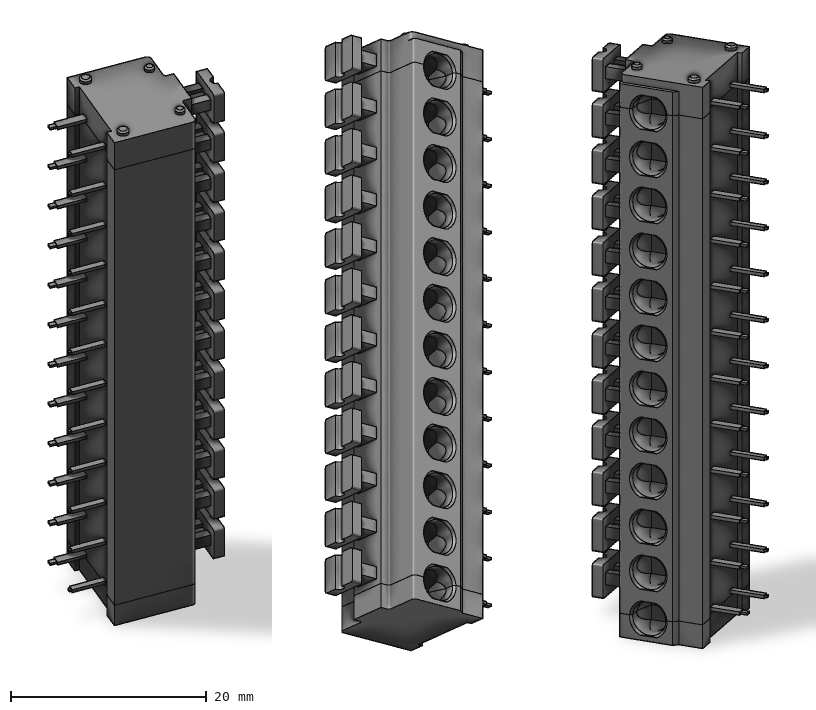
import cadquery as cq

pitch = 5.08
pole_count = 12
lower_end_height = 2.6
upper_seam_z = lower_end_height + (pole_count - 1) * pitch
peg_height = 0.5
total_height = 62.45
housing_height = total_height - peg_height

housing_width = 12.05
shoulder_y = 9.2
shoulder_round = 0.5
foot_width = 1.95
foot_height = 0.5
neck_width = 4.55
neck_top_y = 10.25
neck_fillet = 0.3
center_x = housing_width / 2

rail_depth = 0.45
rail_bottom_y = 2.6
rail_slope_height = 0.55
rail_height = 61.1
rail_round = 0.3

entry_diameter = 3.7
mouth_chamfer = 0.25
mouth_height = 3.75
entry_y = 5.9
entry_above_seam = -0.2
funnel_start_depth = 1.4
funnel_end_depth = 3.4
funnel_end_width = 2.25
funnel_end_bottom = -1.45
funnel_end_top = 0.55

stem_above_seam = 1.4
head_above_seam = 1.25
head_width = neck_width
head_bottom_y = 12.75
head_top_y = 13.9
head_height = 3.75
head_round = 0.25
stem_width = 3.05
stem_height = 1.3
groove_width = 1.1
groove_depth = 0.45

pin_above_seam = 0.55
pin_thickness = 0.4
tip_thickness = 0.25
pin_end_y = -3.55
wide_pin_x = 3.5
wide_pin_width = 0.95
wide_tip_width = 0.55
wide_tip_length = 0.75
narrow_pin_x = 8.5
narrow_pin_width = 0.7
narrow_tip_width = 0.4
narrow_tip_length = 0.25

small_peg_diameter = 1.05
small_peg_y = 8.25
small_peg_spacing = 7.8
large_peg_diameter = 1.25
large_peg_y = 1.5
large_peg_spacing = 9.55
peg_chamfer = 0.2


def block(x0, x1, y0, y1, z0, z1):
    return cq.Workplane("XY").box(x1 - x0, y1 - y0, z1 - z0, centered=False).translate((x0, y0, z0))


def centered_block(width, y0, y1, z0, z1):
    return block(center_x - width / 2, center_x + width / 2, y0, y1, z0, z1)


def housing_blank(z0, z1):
    """Stretch of the plain housing profile with its foot strips and lever neck."""
    body = block(0, housing_width, 0, shoulder_y, z0, z1)
    body = body.edges("|Z and >Y").fillet(shoulder_round)
    neck_left = center_x - neck_width / 2
    neck_right = center_x + neck_width / 2
    body = body.union(centered_block(neck_width, shoulder_y / 2, neck_top_y, z0, z1))
    neck_corners = cq.selectors.BoxSelector(
        (neck_left - neck_fillet, shoulder_y - neck_fillet, z0 - 0.6),
        (neck_right + neck_fillet, shoulder_y + neck_fillet, z1 + 0.6),
    )
    body = body.edges("|Z").edges(neck_corners).fillet(neck_fillet)
    return body.cut(block(foot_width, housing_width - foot_width, 0, foot_height, z0, z1))


def rail(z0, z1):
    """Raised strip around the wire entries, sloped below and rounded above."""
    profile = (
        cq.Workplane("XY", origin=(0, 0, z0))
        .moveTo(shoulder_round, rail_bottom_y)
        .lineTo(0, rail_bottom_y)
        .lineTo(-rail_depth, rail_bottom_y + rail_slope_height)
        .lineTo(-rail_depth, shoulder_y - rail_round)
        .radiusArc((rail_round - rail_depth, shoulder_y), rail_round)
        .lineTo(shoulder_round, shoulder_y)
        .close()
    )
    return profile.extrude(z1 - z0)


def wire_entry():
    """Round hole, countersunk at both sides, whose flat sloped sides guide the wire to a rectangular end.

    Placed for a seam at Z = 0.
    """
    mouth = cq.Workplane("YZ", origin=(-rail_depth, entry_y, entry_above_seam))
    straight = mouth.circle(entry_diameter / 2).extrude(funnel_start_depth)
    bore = mouth.circle(entry_diameter / 2).extrude(funnel_end_depth)
    funnel = (
        mouth.workplane(offset=funnel_start_depth)
        .rect(entry_diameter, entry_diameter)
        .workplane(offset=funnel_end_depth - funnel_start_depth)
        .center(0, (funnel_end_top + funnel_end_bottom) / 2)
        .rect(funnel_end_width, funnel_end_top - funnel_end_bottom)
        .loft(ruled=True)
    )
    countersink = (
        mouth.circle(entry_diameter / 2 + mouth_chamfer)
        .workplane(offset=mouth_chamfer)
        .circle(entry_diameter / 2)
        .loft()
    )
    flats = mouth.rect(pitch, mouth_height).extrude(mouth_chamfer)
    return straight.union(bore.intersect(funnel)).union(countersink.intersect(flats)).val()


def lever():
    """Grooved stem with a notched head, placed for a seam at Z = 0."""
    stem_top = stem_above_seam + stem_height / 2
    stem = centered_block(stem_width, neck_top_y, head_bottom_y, stem_top - stem_height, stem_top)
    groove = centered_block(groove_width, neck_top_y, head_bottom_y, stem_top - groove_depth, stem_top)
    head_top = head_above_seam + head_height / 2
    head_bottom = head_top - head_height
    head = centered_block(head_width, head_bottom_y, head_top_y, head_bottom, head_top)
    head = head.edges("|Y").fillet(head_round)
    notch = (
        cq.Workplane("XY", origin=(center_x, head_top_y, head_bottom))
        .circle(groove_width / 2)
        .extrude(head_height)
    )
    return stem.cut(groove).union(head.cut(notch)).val()


def pin(x, width, tip_width, tip_length):
    """Flat solder pin with a smaller tip, placed for a seam at Z = 0."""
    shank = cq.Workplane("XZ", origin=(x, foot_height, pin_above_seam)).rect(width, pin_thickness)
    tip = cq.Workplane("XZ", origin=(x, foot_height, pin_above_seam)).rect(tip_width, tip_thickness)
    pin_length = foot_height - pin_end_y
    return shank.extrude(pin_length - tip_length).union(tip.extrude(pin_length)).val()


def pegs(diameter, y, spacing):
    """Pair of chamfered pegs on the upper end."""
    return (
        cq.Workplane("XY", origin=(center_x, y, housing_height))
        .rarray(spacing, 0.6, 2, 1)
        .circle(diameter / 2)
        .extrude(peg_height)
        .faces(">Z")
        .chamfer(peg_chamfer)
    )


def housing_section(z0, z1):
    """One section of the stack, with the levers and pins of the poles whose seam lies at its foot or inside."""
    body = housing_blank(z0, z1).union(rail(z0, min(z1, rail_height)))
    crossing_seams = [z for z in seam_heights if z0 - pitch / 2 < z < z1 + pitch / 2]
    section = body.val().cut(*[entry.translate((0, 0, z)) for z in crossing_seams])
    own_seams = [z for z in seam_heights if z0 <= z < z1]
    fittings = [part.translate((0, 0, z)) for z in own_seams for part in pole_parts]
    if fittings:
        section = section.fuse(*fittings)
    return cq.Workplane("XY").newObject(section.Solids())


seam_heights = [lower_end_height + pole * pitch for pole in range(pole_count)]
entry = wire_entry()
pole_parts = [
    lever(),
    pin(wide_pin_x, wide_pin_width, wide_tip_width, wide_tip_length),
    pin(narrow_pin_x, narrow_pin_width, narrow_tip_width, narrow_tip_length),
]

lower_end = housing_section(0, lower_end_height)
middle = housing_section(lower_end_height, upper_seam_z)
upper_end = (
    housing_section(upper_seam_z, housing_height)
    .union(pegs(small_peg_diameter, small_peg_y, small_peg_spacing))
    .union(pegs(large_peg_diameter, large_peg_y, large_peg_spacing))
)

result = cq.Compound.makeCompound([lower_end.val(), middle.val(), upper_end.val()])